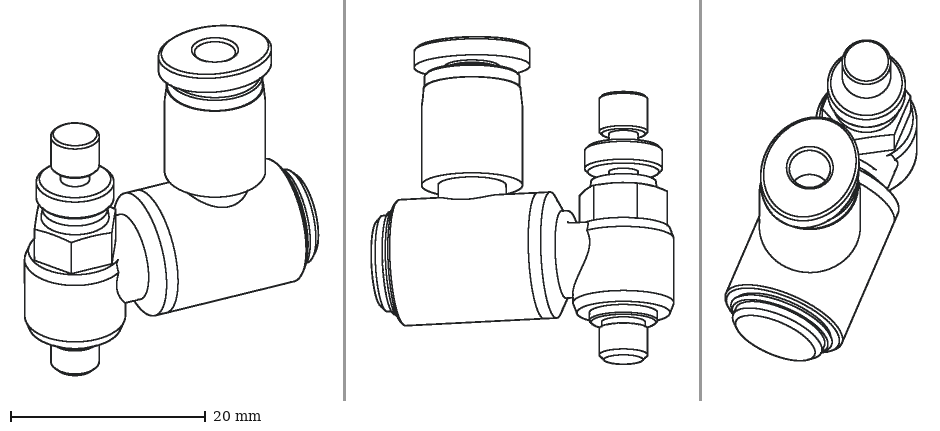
import cadquery as cq


BODY_RADIUS = 5.2
BODY_BOTTOM_Z = -6.5
BODY_TOP_Z = 2.4
BODY_CHAMFER_RADIAL = 0.4
BODY_CHAMFER_AXIAL = 1.05
NECK_RADIUS = 4.5
FLARE_START_Y = 6.25
FLARE_END_Y = 7.35
POCKET_WALL_Y = 5.28
POCKET_FILLET = 0.5
JOINT_Y = 8.65

BARREL_RADIUS = 6.5
BARREL_END_Y = 23.45
BARREL_CHAMFER = 0.25
BEAD_END_Y = 24.25
BEAD_BASE_RADIUS = 5.3
BEAD_RADIUS = 5.6
BEAD_MIDDLE_Y = (BARREL_END_Y + BEAD_END_Y) / 2
BEAD_ARC_RADIUS = 0.45
CAP_RADIUS = 4.95
CAP_END_Y = 25.6
CAP_CHAMFER = 0.55
SOCKET_Y = 15.9
SOCKET_NECK_RADIUS = 3.5
SOCKET_RADIUS = 5.2
SOCKET_BOTTOM_Z = 7.85
TAPER_BOTTOM_Z = 16.17
TAPER_TOP_Z = 18.1
TAPER_TOP_RADIUS = 5.0
GUIDE_RADIUS = 4.9
GUIDE_TOP_Z = 19.55
GUIDE_CHAMFER = 0.2

BUTTON_RADIUS_X = 4.9
BUTTON_RADIUS_Y = 6.0
BUTTON_BOTTOM_Z = 20.43
BUTTON_TOP_Z = 22.43
BUTTON_EDGE_CHAMFER = 0.3
STEM_RADIUS = 2.6
STEM_FLARE = 0.2
BUTTON_BORE_RADIUS = 2.1
BORE_CHAMFER = 0.3

BOLT_BOTTOM_Z = -11.47
THREAD_RADIUS = 2.5
THREAD_CHAMFER = 0.5
THREAD_TOP_Z = -8.2
RELIEF_RADIUS = 2.25
SHANK_RADIUS = 3.5
SHANK_BOTTOM_Z = -7.5
SHANK_CHAMFER = 0.17
HEX_ACROSS_FLATS = 8.0
HEX_TOP_Z = 6.43
HEX_BEVEL_SLOPE = 0.25
COLLAR_TOP_Z = 7.4
COLLAR_TOP_RADIUS = 3.35

NEEDLE_RADIUS = 1.5
KNOB_RADIUS = 2.5
KNOB_BOTTOM_Z = 12.47
KNOB_TOP_Z = 16.4
KNOB_CHAMFER = 0.25
NUT_RADIUS = 4.0
NUT_BOTTOM_Z = 8.45
NUT_TOP_Z = 11.0
NUT_CHAMFER = 0.33

HEX_CORNER_RADIUS = HEX_ACROSS_FLATS / 3 ** 0.5


def cylinder_z(radius, bottom, top, y=0.0):
    """Upright cylinder between two heights."""
    return cq.Workplane("XY", origin=(0, y, bottom)).circle(radius).extrude(top - bottom)


def revolve_z(points, y=0.0):
    """Solid of revolution about a vertical axis from (radius, Z) points."""
    profile = cq.Workplane("XZ", origin=(0, y, 0)).polyline(points).close()
    return profile.revolve(360, (0, 0, 0), (0, 1, 0))


def make_neck():
    """Round neck with a filleted pocket that clears the hexagon head."""
    neck = cq.Workplane("XZ").circle(NECK_RADIUS).extrude(-JOINT_Y)
    pocket = (
        cq.Workplane("XY", origin=(0, 0, BODY_TOP_Z))
        .rect(2 * BARREL_RADIUS, 2 * POCKET_WALL_Y)
        .extrude(BARREL_RADIUS)
        .edges("|X and >Y and <Z")
        .fillet(POCKET_FILLET)
    )
    neck = neck.cut(pocket)
    margin = 0.01
    rim = cq.selectors.BoxSelector(
        (-BARREL_RADIUS, margin, BODY_TOP_Z - margin),
        (BARREL_RADIUS, POCKET_WALL_Y + margin, BARREL_RADIUS),
        boundingbox=True,
    )
    return neck.edges(rim).edges("not |X").fillet(POCKET_FILLET)


def make_valve_body():
    end_radius = BODY_RADIUS - BODY_CHAMFER_RADIAL
    ring = revolve_z([
        (0, BODY_BOTTOM_Z),
        (end_radius, BODY_BOTTOM_Z),
        (BODY_RADIUS, BODY_BOTTOM_Z + BODY_CHAMFER_AXIAL),
        (BODY_RADIUS, BODY_TOP_Z - BODY_CHAMFER_AXIAL),
        (end_radius, BODY_TOP_Z),
        (0, BODY_TOP_Z),
    ])
    flange = (
        cq.Workplane("XY")
        .polyline([
            (0, FLARE_START_Y),
            (NECK_RADIUS, FLARE_START_Y),
            (BARREL_RADIUS, FLARE_END_Y),
            (BARREL_RADIUS, JOINT_Y),
            (0, JOINT_Y),
        ])
        .close()
        .revolve(360, (0, 0, 0), (0, 1, 0))
    )
    bolt_bore = cylinder_z(SHANK_RADIUS, BODY_BOTTOM_Z, BODY_TOP_Z)
    return ring.union(make_neck()).union(flange).cut(bolt_bore)


def make_elbow():
    barrel = (
        cq.Workplane("XY")
        .moveTo(0, JOINT_Y)
        .lineTo(BARREL_RADIUS, JOINT_Y)
        .lineTo(BARREL_RADIUS, BARREL_END_Y - BARREL_CHAMFER)
        .lineTo(BARREL_RADIUS - BARREL_CHAMFER, BARREL_END_Y)
        .lineTo(BEAD_BASE_RADIUS, BARREL_END_Y)
        .radiusArc((BEAD_RADIUS, BEAD_MIDDLE_Y), BEAD_ARC_RADIUS)
        .radiusArc((BEAD_BASE_RADIUS, BEAD_END_Y), BEAD_ARC_RADIUS)
        .lineTo(CAP_RADIUS, BEAD_END_Y)
        .lineTo(CAP_RADIUS, CAP_END_Y - CAP_CHAMFER)
        .lineTo(CAP_RADIUS - CAP_CHAMFER, CAP_END_Y)
        .lineTo(0, CAP_END_Y)
        .close()
        .revolve(360, (0, 0, 0), (0, 1, 0))
    )
    socket = revolve_z([
        (0, 0),
        (SOCKET_NECK_RADIUS, 0),
        (SOCKET_NECK_RADIUS, SOCKET_BOTTOM_Z),
        (SOCKET_RADIUS, SOCKET_BOTTOM_Z),
        (SOCKET_RADIUS, TAPER_BOTTOM_Z),
        (TAPER_TOP_RADIUS, TAPER_TOP_Z),
        (GUIDE_RADIUS, TAPER_TOP_Z),
        (GUIDE_RADIUS, GUIDE_TOP_Z - GUIDE_CHAMFER),
        (GUIDE_RADIUS - GUIDE_CHAMFER, GUIDE_TOP_Z),
        (0, GUIDE_TOP_Z),
    ], SOCKET_Y)
    stem_bore = cylinder_z(STEM_RADIUS, TAPER_BOTTOM_Z, GUIDE_TOP_Z, SOCKET_Y)
    return barrel.union(socket).cut(stem_bore)


def make_button():
    """Oval push plate on a hollow stem."""
    plate = (
        cq.Workplane("XY", origin=(0, SOCKET_Y, BUTTON_BOTTOM_Z))
        .ellipse(BUTTON_RADIUS_X, BUTTON_RADIUS_Y)
        .extrude(BUTTON_TOP_Z - BUTTON_BOTTOM_Z)
        .faces(">Z")
        .chamfer(BUTTON_EDGE_CHAMFER)
    )
    stem = revolve_z([
        (0, TAPER_BOTTOM_Z),
        (STEM_RADIUS, TAPER_BOTTOM_Z),
        (STEM_RADIUS, BUTTON_BOTTOM_Z - STEM_FLARE),
        (STEM_RADIUS + STEM_FLARE, BUTTON_BOTTOM_Z),
        (0, BUTTON_BOTTOM_Z),
    ], SOCKET_Y)
    bore = revolve_z([
        (0, TAPER_BOTTOM_Z),
        (BUTTON_BORE_RADIUS, TAPER_BOTTOM_Z),
        (BUTTON_BORE_RADIUS, BUTTON_TOP_Z - BORE_CHAMFER),
        (BUTTON_BORE_RADIUS + BORE_CHAMFER, BUTTON_TOP_Z),
        (0, BUTTON_TOP_Z),
    ], SOCKET_Y)
    return plate.union(stem).cut(bore)


def make_hex_head():
    """Hexagon with corners on the Y direction and a shallow conical top."""
    hexagon = (
        cq.Workplane("XY", origin=(0, 0, BODY_TOP_Z))
        .polygon(6, 2 * HEX_CORNER_RADIUS)
        .extrude(HEX_TOP_Z - BODY_TOP_Z)
        .rotate((0, 0, 0), (0, 0, 1), 90)
    )
    bevel_base_radius = HEX_CORNER_RADIUS + 1
    bevel_drop = (bevel_base_radius - SHANK_RADIUS) * HEX_BEVEL_SLOPE
    bevel_envelope = revolve_z([
        (0, BODY_TOP_Z),
        (bevel_base_radius, BODY_TOP_Z),
        (bevel_base_radius, HEX_TOP_Z - bevel_drop),
        (SHANK_RADIUS, HEX_TOP_Z),
        (0, HEX_TOP_Z),
    ])
    return hexagon.intersect(bevel_envelope)


def make_bolt():
    shaft = revolve_z([
        (0, BOLT_BOTTOM_Z),
        (THREAD_RADIUS - THREAD_CHAMFER, BOLT_BOTTOM_Z),
        (THREAD_RADIUS, BOLT_BOTTOM_Z + THREAD_CHAMFER),
        (THREAD_RADIUS, THREAD_TOP_Z),
        (RELIEF_RADIUS, THREAD_TOP_Z),
        (RELIEF_RADIUS, SHANK_BOTTOM_Z),
        (SHANK_RADIUS - SHANK_CHAMFER, SHANK_BOTTOM_Z),
        (SHANK_RADIUS, SHANK_BOTTOM_Z + SHANK_CHAMFER),
        (SHANK_RADIUS, HEX_TOP_Z),
        (COLLAR_TOP_RADIUS, COLLAR_TOP_Z),
        (0, COLLAR_TOP_Z),
    ])
    needle_bore = cylinder_z(NEEDLE_RADIUS, BODY_TOP_Z, COLLAR_TOP_Z)
    return shaft.union(make_hex_head()).cut(needle_bore)


def make_needle():
    knob = cylinder_z(KNOB_RADIUS, KNOB_BOTTOM_Z, KNOB_TOP_Z).faces("|Z").chamfer(KNOB_CHAMFER)
    return cylinder_z(NEEDLE_RADIUS, BODY_TOP_Z, KNOB_BOTTOM_Z).union(knob)


def make_lock_nut():
    disc = cylinder_z(NUT_RADIUS, NUT_BOTTOM_Z, NUT_TOP_Z).faces("|Z").chamfer(NUT_CHAMFER)
    return disc.cut(cylinder_z(NEEDLE_RADIUS, NUT_BOTTOM_Z, NUT_TOP_Z))


valve_body = make_valve_body()
elbow = make_elbow()
button = make_button()
bolt = make_bolt()
needle = make_needle()
lock_nut = make_lock_nut()

result = cq.Compound.makeCompound([
    valve_body.val(),
    elbow.val(),
    button.val(),
    bolt.val(),
    needle.val(),
    lock_nut.val(),
])